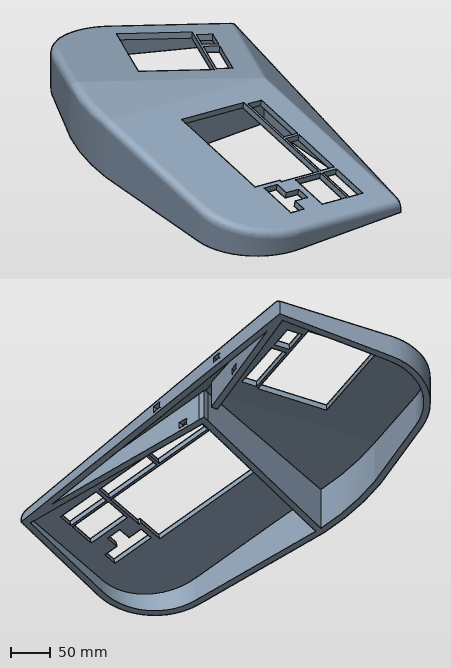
import cadquery as cq
import math


apex = cq.Vector(0, 247.0, 59.0)
fan_pitch = 5.0
tent_angle = 7.6
left_fold_angle = 13.0
right_fold_angle = 12.0

deck_depth = 250.0
left_deck_width = 203.0
right_deck_width = 295.0
corner_radius = 90.0

roof_edge_radius = 19.5 / 2
plate_thickness = 8.5
wall_thickness = 8.5
window_reach = 2 * plate_thickness
rib_thickness = 8.5
rib_gap = 19.5
clearance = 111.0

function_row = (34.0, 55.0)
main_block = (58.5, 155.5)
left_main = (34.0, 169.0)
left_function_windows = [(37.0, 116.5), (124.5, 159.5)]
right_main = (34.5, 197.5)
right_main_notch = 3.5
right_main_notch_down = 116.5
right_function_windows = [(39.0, 117.0), (121.0, 197.0), (202.0, 259.5)]
navigation_block = (58.5, 97.0)
navigation_out = (201.5, 259.5)
arrow_row = (125.5, 146.0)
arrow_out = (201.0, 259.5)
up_arrow_down = 106.0
up_arrow_out = (220.5, 240.0)

sockets = [(33.5, 11.0, 6.0, 16.0), (-78.0, 11.0, 9.5, 18.0)]

fan = cq.Plane(apex.toTuple(), xDir=(1, 0, 0), normal=(0, 0, 1)).rotated((-fan_pitch, 0, 0))
left_deck = fan.rotated((0, 0, -left_fold_angle)).rotated((0, -tent_angle, 0))
right_deck = fan.rotated((0, 0, right_fold_angle)).rotated((0, tent_angle, 0))

back_left = left_deck.toWorldCoords((-left_deck_width, 0))
front_left = left_deck.toWorldCoords((-left_deck_width, -deck_depth))
arc_left = left_deck.toWorldCoords((0, -deck_depth))
arc_right = right_deck.toWorldCoords((0, -deck_depth))
front_right = right_deck.toWorldCoords((right_deck_width, -deck_depth))
back_right = right_deck.toWorldCoords((right_deck_width, 0))

back_slope = cq.Plane(apex, xDir=back_right - apex, normal=(back_right - apex).cross(back_left - apex))


def plan(point):
    return (point.x, point.y)


def wedge(inset, drop):
    """The body inside the outline, with its walls moved in by inset and its roof down by drop."""
    outline = (
        cq.Workplane("XY")
        .moveTo(*plan(back_left))
        .lineTo(*plan(front_left))
        .lineTo(*plan(arc_left))
        .threePointArc((0, 0), plan(arc_right))
        .lineTo(*plan(front_right))
        .lineTo(*plan(back_right))
        .close()
    )
    if inset > 0:
        outline = outline.offset2D(-inset, "intersection")
    body = outline.extrude(apex.z + clearance)
    body = body.edges("|Z").edges("<X or >X").fillet(corner_radius - inset)
    reach = 2 * (left_deck_width + right_deck_width)
    for plane in (fan, left_deck, right_deck, back_slope):
        above = cq.Workplane(plane).workplane(offset=-drop).rect(reach, reach).extrude(2 * clearance)
        body = body.cut(above)
    return body


def rib(start, end):
    """A tall upright slab on the right-hand side of the plan line from start to end."""
    along = cq.Vector(end.x - start.x, end.y - start.y, 0)
    plane = cq.Plane((start.x, start.y, 0), xDir=along, normal=(0, 0, 1))
    return (
        cq.Workplane(plane)
        .center(along.Length / 2, -rib_thickness / 2)
        .rect(along.Length, rib_thickness)
        .extrude(apex.z + clearance)
    )


def window(deck, corners):
    """An opening through a deck, from the (out, down) corners of its outline."""
    side = 1 if deck is right_deck else -1
    points = [(side * out, -down) for out, down in corners]
    return cq.Workplane(deck).polyline(points).close().extrude(-window_reach)


def rectangle(out, down):
    """Corners of a rectangle from its (from, to) pairs."""
    return [(out[0], down[0]), (out[1], down[0]), (out[1], down[1]), (out[0], down[1])]


outer = wedge(0, 0)
outer = outer.edges("not(|Z or <Z)").edges("not >Y").fillet(roof_edge_radius)

left_rib_end = left_deck.toWorldCoords((-rib_gap, 0))
cavity = wedge(wall_thickness, plate_thickness)
for start, end in ((back_left, left_rib_end), (apex, back_right), (arc_right, apex)):
    cavity = cavity.cut(rib(start, end))
case = outer.cut(cavity)

case = case.cut(window(left_deck, rectangle(left_main, main_block)))
for out in left_function_windows:
    case = case.cut(window(left_deck, rectangle(out, function_row)))

right_main_outline = [
    (right_main[0], main_block[0]),
    (right_main[1], main_block[0]),
    (right_main[1], right_main_notch_down),
    (right_main[1] - right_main_notch, right_main_notch_down),
    (right_main[1] - right_main_notch, main_block[1]),
    (right_main[0], main_block[1]),
]
case = case.cut(window(right_deck, right_main_outline))
for out in right_function_windows:
    case = case.cut(window(right_deck, rectangle(out, function_row)))
case = case.cut(window(right_deck, rectangle(navigation_out, navigation_block)))

arrow_outline = [
    (arrow_out[0], arrow_row[0]),
    (up_arrow_out[0], arrow_row[0]),
    (up_arrow_out[0], up_arrow_down),
    (up_arrow_out[1], up_arrow_down),
    (up_arrow_out[1], arrow_row[0]),
    (arrow_out[1], arrow_row[0]),
    (arrow_out[1], arrow_row[1]),
    (arrow_out[0], arrow_row[1]),
]
case = case.cut(window(right_deck, arrow_outline))

for x, width, low, high in sockets:
    socket = cq.Workplane("XY").box(width, clearance, high - low, centered=(True, True, False))
    case = case.cut(socket.translate((x, back_right.y, low)))

result = case